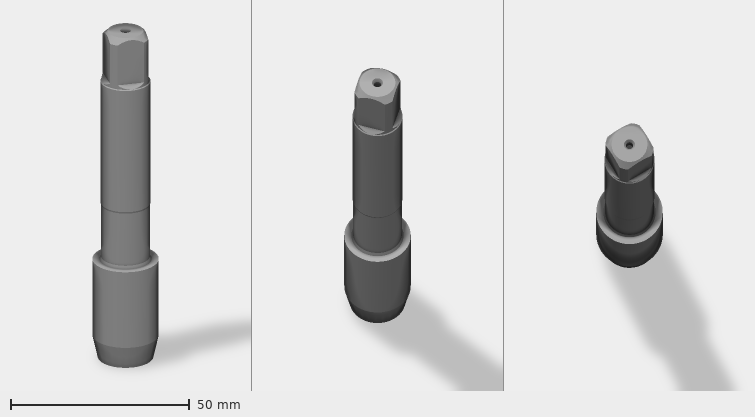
import cadquery as cq
import math

total_length = 100.0

head_diameter = 18.6
head_length = 30.0
lead_length = 6.8
lead_end_diameter = 15.6

shank_diameter = 14.0
neck_diameter = 13.7
flare_diameter = 14.6
flare_height = 0.9
neck_top = 46.9
neck_step_height = 0.5

drive_corner_diameter = 13.5
square_width = 11.1
square_runout_bottom = 84.6
tip_diameter = 10.0

hole_diameter = 2.0
hole_mouth_diameter = 3.1
hole_depth = 4.0
mouth_angle = 60.0
drill_point_angle = 120.0


def revolve_profile(points):
    """Revolve a closed (radius, height) outline about the Z axis."""
    return cq.Workplane("XZ").polyline(points).close().revolve(360, (0, 0), (0, 1))


def make_head():
    return revolve_profile([
        (0, 0),
        (lead_end_diameter / 2, 0),
        (head_diameter / 2, lead_length),
        (head_diameter / 2, head_length),
        (0, head_length),
    ])


def make_shank_blank():
    """Round shank with a flared foot, a reduced neck and 45 degree bevels at the drive end."""
    tip_bevel = (drive_corner_diameter - tip_diameter) / 2
    corner_bevel = (shank_diameter - drive_corner_diameter) / 2
    return revolve_profile([
        (0, head_length),
        (flare_diameter / 2, head_length),
        (neck_diameter / 2, head_length + flare_height),
        (neck_diameter / 2, neck_top),
        (shank_diameter / 2, neck_top + neck_step_height),
        (shank_diameter / 2, square_runout_bottom),
        (drive_corner_diameter / 2, square_runout_bottom + corner_bevel),
        (drive_corner_diameter / 2, total_length - tip_bevel),
        (tip_diameter / 2, total_length),
        (0, total_length),
    ])


def make_flat_cutter():
    """Material outside one flat of the square, with a 45 degree runout at its foot."""
    inner = square_width / 2
    outer = head_diameter / 2
    runout_top = square_runout_bottom + shank_diameter / 2 - inner
    runout_foot = runout_top - (outer - inner)
    return (
        cq.Workplane("XZ")
        .polyline([
            (inner, runout_top),
            (outer, runout_foot),
            (outer, total_length),
            (inner, total_length),
        ])
        .close()
        .extrude(head_diameter / 2, both=True)
    )


def make_centre_hole():
    hole_radius = hole_diameter / 2
    mouth_radius = hole_mouth_diameter / 2
    mouth_depth = (mouth_radius - hole_radius) / math.tan(math.radians(mouth_angle / 2))
    point_depth = hole_radius / math.tan(math.radians(drill_point_angle / 2))
    return revolve_profile([
        (0, total_length),
        (mouth_radius, total_length),
        (hole_radius, total_length - mouth_depth),
        (hole_radius, total_length - hole_depth),
        (0, total_length - hole_depth - point_depth),
    ])


def make_shank():
    shank = make_shank_blank()
    flat_cutter = make_flat_cutter()
    for angle in (0, 90, 180, 270):
        shank = shank.cut(flat_cutter.rotate((0, 0, 0), (0, 0, 1), angle))
    return shank.cut(make_centre_hole())


head = make_head()
shank = make_shank()

result = cq.Compound.makeCompound([head.val(), *shank.vals()])